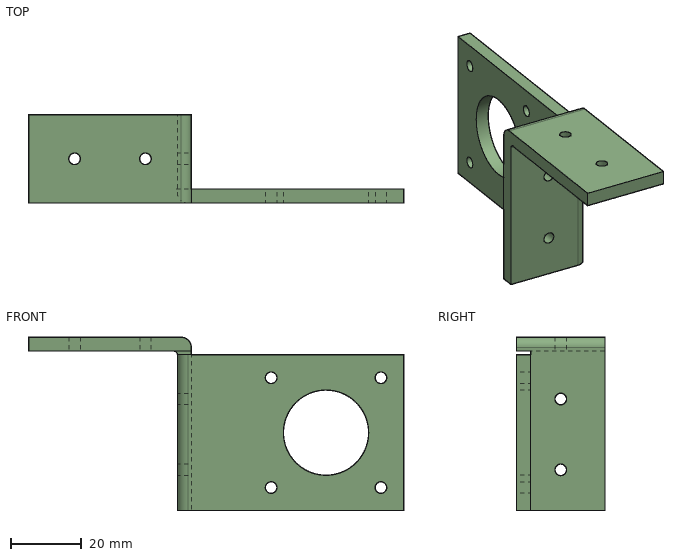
import cadquery as cq

length = 106.0
depth = 25.0
height = 49.0
thickness = 4.0
outer_bend_radius = 3.0
inner_bend_radius = 1.0
shelf_length = 46.0

screw_diameter = 3.2
screw_spacing = 20.0
shelf_screws_x = 23.0
wall_screws_z = 21.5

motor_bore_diameter = 24.0
motor_screw_spacing = 31.0
motor_edge_distance = 22.0

shelf_bottom = height - thickness
motor_plate_top = shelf_bottom - inner_bend_radius
wall_left = shelf_length - thickness
motor_x = length - motor_edge_distance
motor_z = motor_plate_top / 2


def box(x_range, y_range, z_range):
    """Box spanning the given (low, high) range on each axis."""
    lows, highs = zip(x_range, y_range, z_range)
    sizes = [high - low for low, high in zip(lows, highs)]
    return cq.Workplane("XY").box(*sizes, centered=False).translate(lows)


def motor_plate_and_wall():
    """Upright plate along X joined to the side wall by a rounded corner."""
    plate = box((wall_left, length), (0, thickness), (0, motor_plate_top))
    wall = box((wall_left, shelf_length), (0, depth), (0, motor_plate_top))
    return plate.union(wall).edges("|Z and <X and <Y").fillet(outer_bend_radius)


def shelf():
    """Horizontal plate with a rounded edge above the side wall."""
    plate = box((0, shelf_length), (0, depth), (shelf_bottom, height))
    return plate.edges("|Y and >X and >Z").fillet(outer_bend_radius)


def shelf_neck():
    """Web from the side wall up to the shelf, flaring into its underside."""
    return (
        cq.Workplane("XZ", origin=(0, depth, 0))
        .moveTo(shelf_length, motor_plate_top)
        .lineTo(shelf_length, shelf_bottom)
        .lineTo(wall_left - inner_bend_radius, shelf_bottom)
        .radiusArc((wall_left, motor_plate_top), inner_bend_radius)
        .close()
        .extrude(depth - thickness)
    )


def motor_cutters():
    """Motor bore and its four screw holes, along Y."""
    face = cq.Workplane("XZ", origin=(motor_x, 0, motor_z))
    bore = face.circle(motor_bore_diameter / 2).extrude(-thickness)
    screws = (
        face.rect(motor_screw_spacing, motor_screw_spacing, forConstruction=True)
        .vertices()
        .circle(screw_diameter / 2)
        .extrude(-thickness)
    )
    return bore.union(screws)


def shelf_screw_cutters():
    """Pair of screw holes through the shelf, along Z."""
    return (
        cq.Workplane("XY", origin=(shelf_screws_x, depth / 2, shelf_bottom))
        .rarray(screw_spacing, 1, 2, 1)
        .circle(screw_diameter / 2)
        .extrude(thickness)
    )


def wall_screw_cutters():
    """Pair of screw holes through the side wall, along X."""
    return (
        cq.Workplane("YZ", origin=(wall_left, depth / 2, wall_screws_z))
        .rarray(1, screw_spacing, 1, 2)
        .circle(screw_diameter / 2)
        .extrude(thickness)
    )


result = (
    motor_plate_and_wall()
    .union(shelf_neck())
    .union(shelf())
    .cut(motor_cutters())
    .cut(shelf_screw_cutters())
    .cut(wall_screw_cutters())
)